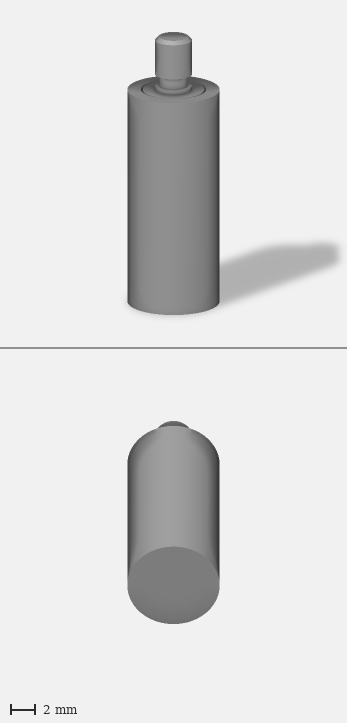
import cadquery as cq

total_height = 22.5
housing_height = 18.0
housing_diameter = 7.5
core_diameter = 5.0
ring_gap = 0.15
recess_depth = 1.5
stud_diameter = 3.0
neck_diameter = 2.3
collar_height = 0.32
head_height = 3.2
head_chamfer = 0.3

recess_diameter = core_diameter + 2 * ring_gap
recess_floor = housing_height - recess_depth
collar_top = housing_height + collar_height
head_bottom = total_height - head_height


def cylinder(diameter, bottom, top):
    """Upright cylinder on the Z axis between two heights."""
    return cq.Workplane("XY").workplane(offset=bottom).circle(diameter / 2).extrude(top - bottom)


def make_housing():
    """Round bar with a blind recess in its top face."""
    bar = cylinder(housing_diameter, 0, housing_height)
    recess = cylinder(recess_diameter, recess_floor, housing_height)
    return bar.cut(recess)


def make_core():
    """Disc standing on the recess floor, flush with the housing, with a necked stud on top."""
    disc = cylinder(core_diameter, recess_floor, housing_height)
    collar = cylinder(stud_diameter, housing_height, collar_top)
    neck = cylinder(neck_diameter, collar_top, head_bottom)
    head = cylinder(stud_diameter, head_bottom, total_height).faces(">Z").chamfer(head_chamfer)
    return disc.union(collar).union(neck).union(head)


housing = make_housing()
core = make_core()

result = cq.Compound.makeCompound([housing.val(), core.val()])